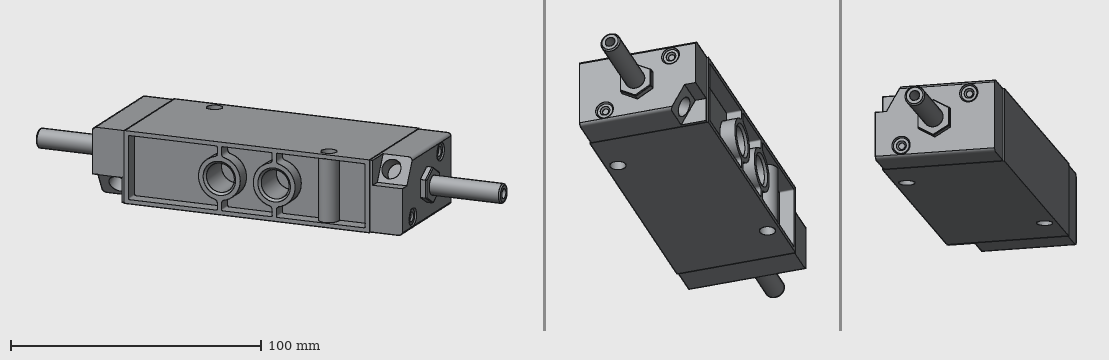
import cadquery as cq
import math

overall_length = 202.0
height = 30.3

body_length = 106.7
body_width = 50.0

recess_wall = 1.8
recess_depth = 6.3
rib_thickness = 1.8
rib_fillet = 1.6
recess_corner_radius = 0.6

port_offset = 12.0
port_boss_diameter = 18.2
port_mouth_diameter = 14.1
port_diameter = 12.1
port_depth = 16.2

mount_hole_x = 33.5
mount_hole_y = 20.0
mount_hole_diameter = 6.5
mount_column_diameter = 8.5

cap_length = 14.1
cap_width = 49.0
cap_height = 29.9
cap_round_length = 1.8
cap_round_drop = 1.2

notch_wall = 1.2
notch_height = 10.5
notch_ledge = 4.6
notch_angle = 60.0
notch_hole_from_end = 8.0
notch_hole_rise = 5.3
notch_hole_diameter = 8.0
notch_hole_depth = 7.0

screw_y = 14.0
screw_z = 9.9
screw_recess_diameter = 7.5
screw_head_diameter = 6.5
screw_recess_depth = 0.6
socket_diameter = 4.0
socket_floor_diameter = 2.6
socket_depth = 0.8

nut_across_flats = 13.0
nut_thickness = 2.8
nut_bevel_depth = 0.6
nut_bevel_width = 0.2
stem_diameter = 8.0
stem_chamfer = 0.6
stem_hole_diameter = 4.0
stem_hole_depth = 10.0
drill_tip_angle = 118.0

front_y = -body_width / 2
cap_end_x = body_length / 2 + cap_length


def front_cylinder(x, diameter, depth):
    """Cylinder from the front face of the body going back by depth."""
    return cq.Workplane("XZ", origin=(x, front_y, 0)).circle(diameter / 2).extrude(-depth)


def end_cylinder(x, y, z, diameter, depth):
    """Cylinder along +X starting at the given point."""
    return cq.Workplane("YZ", origin=(x, y, z)).circle(diameter / 2).extrude(depth)


def mount_cylinder(x, y, diameter):
    """Vertical cylinder over the full height of the body."""
    return cq.Workplane("XY", origin=(x, y, -height / 2)).circle(diameter / 2).extrude(height)


def frustum(x, y, z, floor_diameter, mouth_diameter, depth):
    """Frustum along +X, from its floor at the given point to its wider mouth."""
    floor = cq.Workplane("YZ", origin=(x, y, z)).circle(floor_diameter / 2)
    return floor.workplane(offset=depth).circle(mouth_diameter / 2).loft()


def make_recess():
    """Solid to remove from the front face: it leaves the ribs, bosses and column standing."""
    inner_height = height - 2 * recess_wall

    def recess_block(x, length):
        center_y = front_y + recess_depth / 2
        return cq.Workplane("XY", origin=(x, center_y, 0)).box(length, recess_depth, inner_height)

    recess = recess_block(0, body_length - 2 * recess_wall)
    for x in (-port_offset, port_offset):
        recess = recess.cut(recess_block(x, rib_thickness))
        recess = recess.cut(front_cylinder(x, port_boss_diameter, recess_depth))
    rib_roots = cq.selectors.BoxSelector(
        (-body_length, -body_width, -port_boss_diameter / 2),
        (body_length, body_width, port_boss_diameter / 2),
    )
    recess = recess.edges("|Y").edges(">Z or <Z").fillet(recess_corner_radius)
    recess = recess.edges("|Y").edges(rib_roots).fillet(rib_fillet)

    return recess.cut(mount_cylinder(mount_hole_x, -mount_hole_y, mount_column_diameter))


def make_port(x):
    """Blind port with a 45 degree countersunk mouth."""
    countersink = (port_mouth_diameter - port_diameter) / 2
    mouth = (
        cq.Workplane("XZ", origin=(x, front_y, 0))
        .circle(port_mouth_diameter / 2)
        .workplane(offset=-countersink)
        .circle(port_diameter / 2)
        .loft()
    )
    return front_cylinder(x, port_diameter, port_depth).union(mouth)


def make_body():
    body = cq.Workplane("XY").box(body_length, body_width, height).cut(make_recess())
    for x in (-port_offset, port_offset):
        body = body.cut(make_port(x))
    for side in (-1, 1):
        body = body.cut(mount_cylinder(side * mount_hole_x, -side * mount_hole_y, mount_hole_diameter))
    return body


def make_cap():
    """Cap on the +X end, with its notch in the upper front corner."""
    start_x = body_length / 2
    round_start_x = cap_end_x - cap_round_length
    top_z = cap_height / 2
    shoulder_z = top_z - cap_round_drop

    cap = (
        cq.Workplane("XZ", origin=(0, cap_width / 2, 0))
        .moveTo(start_x, 0)
        .lineTo(start_x, top_z)
        .lineTo(round_start_x, top_z)
        .tangentArcPoint((cap_end_x, shoulder_z), relative=False)
        .lineTo(cap_end_x, 0)
        .mirrorX()
        .extrude(cap_width)
    )

    slope = math.radians(notch_angle)
    cap_front_y = -cap_width / 2
    foot_y = cap_front_y + notch_ledge
    ledge_z = height / 2 - notch_height
    notch = (
        cq.Workplane("YZ", origin=(start_x + notch_wall, 0, 0))
        .moveTo(cap_front_y, ledge_z)
        .lineTo(foot_y, ledge_z)
        .lineTo(foot_y + notch_height / math.tan(slope), height / 2)
        .lineTo(cap_front_y, height / 2)
        .close()
        .extrude(cap_length)
    )

    hole_center = cq.Vector(
        cap_end_x - notch_hole_from_end,
        foot_y + notch_hole_rise / math.tan(slope),
        ledge_z + notch_hole_rise,
    )
    inward = cq.Vector(0, math.sin(slope), -math.cos(slope))
    hole = cq.Solid.makeCylinder(notch_hole_diameter / 2, notch_hole_depth, hole_center, inward)
    cap = cap.cut(notch).cut(cq.Workplane(hole))

    recess_x = cap_end_x - screw_recess_depth
    socket_x = recess_x - socket_depth
    for side in (-1, 1):
        y = side * screw_y
        z = side * screw_z
        recess = frustum(recess_x, y, z, screw_head_diameter, screw_recess_diameter, screw_recess_depth)
        socket = frustum(socket_x, y, z, socket_floor_diameter, socket_diameter, socket_depth)
        cap = cap.cut(recess).cut(socket)
    return cap


def make_nut():
    """Hexagon nut with points up and down, bevelled around its outer face."""
    across_corners = nut_across_flats / math.cos(math.pi / 6)
    plane = cq.Workplane("YZ", origin=(cap_end_x, 0, 0)).transformed(rotate=(0, 0, 90))
    nut = plane.polygon(6, across_corners).extrude(nut_thickness)
    return nut.faces(">X").edges().chamfer(nut_bevel_depth, nut_bevel_width)


def make_stem():
    """Round stem with a drilled end."""
    tip_x = overall_length / 2
    stem = end_cylinder(cap_end_x, 0, 0, stem_diameter, tip_x - cap_end_x)
    stem = stem.faces(">X").chamfer(stem_chamfer)
    radius = stem_hole_diameter / 2
    tip_depth = radius / math.tan(math.radians(drill_tip_angle / 2))
    drill_profile = (
        cq.Workplane("XY")
        .moveTo(tip_x, 0)
        .lineTo(tip_x, radius)
        .lineTo(tip_x - stem_hole_depth, radius)
        .lineTo(tip_x - stem_hole_depth - tip_depth, 0)
        .close()
    )
    return stem.cut(drill_profile.revolve(360, (0, 0, 0), (1, 0, 0)))


end_assembly = make_cap().union(make_nut()).union(make_stem())
other_end = end_assembly.rotate((0, 0, 0), (0, 1, 0), 180)

result = make_body().union(end_assembly).union(other_end)